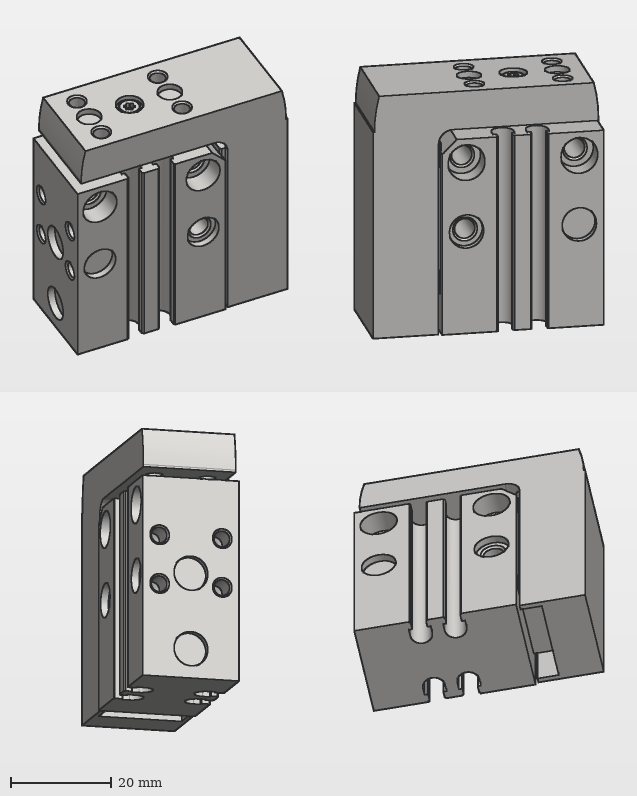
import cadquery as cq
import math

HOUSING_WIDTH = 20.0
HOUSING_DEPTH = 33.0
HOUSING_HEIGHT = 41.0
HOUSING_CHAMFER = 3.0
MID_Y = HOUSING_DEPTH / 2
SIDE_X = HOUSING_WIDTH / 2

SLOT_SPACING = 7.0
SLOT_THROAT_WIDTH = 3.1
SLOT_THROAT_DEPTH = 1.9
SLOT_CHAMBER_WIDTH = 4.5
SLOT_BOTTOM_CENTER_DEPTH = 3.4
SLOT_RECESS = 0.2
SLOT_RECESS_MARGIN = 0.25
LAND_EDGE_CHAMFER = 0.35

SIDE_HOLE_SPACING = 23.0
UPPER_HOLE_Z = 36.0
LOWER_HOLE_Z = 21.5
SIDE_HOLE_DIAMETER = 4.13
SIDE_HOLE_RIM_DIAMETER = 5.0
COUNTERBORE_DIAMETER = 7.5
COUNTERBORE_DEPTH = 4.6
SLEEVE_DIAMETER = 7.0
SLEEVE_DEPTH = 1.6

THREAD_CORE_DIAMETER = 3.24
THREAD_RIM_DIAMETER = 4.0

FRONT_HOLE_SPACING_X = 13.0
FRONT_HOLE_HEIGHTS = (19.0, 29.0)
FRONT_HOLE_DEPTH = 6.0
DRILL_POINT_ANGLE = 118.0
FRONT_SLEEVE_HEIGHTS = (6.0, LOWER_HOLE_Z)

CARRIAGE_HALF_WIDTH = 7.9
END_PLATE_HALF_WIDTH = 8.1
END_PLATE_CHAMFER = 0.4
CARRIAGE_BOTTOM_Z = 8.1
CARRIAGE_TOP_Z = 39.6
END_PLATE_THICKNESS = 4.85
CARRIAGE_FRONT_Y = 32.7
CARRIAGE_BACK_Y = 38.0

SLIDE_WIDTH = 19.2
SLIDE_BACK_Y = 47.0
SLIDE_INNER_Y = 33.65
SLIDE_FRONT_Y = 1.0
SLIDE_TOP_Z = 51.0
TOP_PLATE_BOTTOM_Z = 43.0
INNER_FILLET = 3.0
CURVE_START_Z = 43.5
CURVE_RADIUS = 30.0
BACK_STEP = 0.3

POCKET_HALF_WIDTH = 8.6
POCKET_TOP_Z = 42.4
POCKET_FILLET = 1.8

TOP_HOLE_SPACING_X = 11.0
TOP_HOLE_SPACING_Y = 18.0
TOP_SLEEVE_DIAMETER = 5.0
TOP_SLEEVE_DEPTH = 1.3

SCREW_RECESS_DIAMETER = 5.6
SCREW_RECESS_DEPTH = 1.0
SCREW_HEAD_DIAMETER = 4.5
SCREW_HEAD_HEIGHT = 0.5
SCREW_HEAD_CHAMFER = 0.25
SOCKET_CORE_DIAMETER = 1.75
SOCKET_LOBE_DIAMETER = 0.6
SOCKET_LOBES = 6
SOCKET_TIP_DIAMETER = 2.3
SOCKET_DEPTH = 1.2
ROD_DIAMETER = 5.6
STOP_DIAMETER = 6.0
STOP_Y = 25.0
STOP_BOTTOM_Z = 41.2
STOP_CHAMFER = 0.3


def box(x_range, y_range, z_range):
    """Axis-aligned box between the given limits."""
    size = [high - low for low, high in (x_range, y_range, z_range)]
    return cq.Workplane().box(*size, centered=False).translate((x_range[0], y_range[0], z_range[0]))


def cylinder(start, direction, diameter, length):
    """Round bar that begins at a point and runs along a direction."""
    solid = cq.Solid.makeCylinder(diameter / 2, length, cq.Vector(*start), cq.Vector(*direction))
    return cq.Workplane(solid)


def countersink(start, direction, rim_diameter, core_diameter):
    """45-degree cone that narrows from a hole's rim to its core."""
    depth = (rim_diameter - core_diameter) / 2
    solid = cq.Solid.makeCone(
        rim_diameter / 2, core_diameter / 2, depth, cq.Vector(*start), cq.Vector(*direction)
    )
    return cq.Workplane(solid)


def blind_threaded_hole(start, direction, depth):
    """Countersunk hole with a drill-point bottom."""
    core_radius = THREAD_CORE_DIAMETER / 2
    point_depth = core_radius / math.tan(math.radians(DRILL_POINT_ANGLE / 2))
    point_start = cq.Vector(*start) + cq.Vector(*direction) * depth
    point = cq.Solid.makeCone(core_radius, 0, point_depth, point_start, cq.Vector(*direction))
    return (
        cylinder(start, direction, THREAD_CORE_DIAMETER, depth)
        .union(countersink(start, direction, THREAD_RIM_DIAMETER, THREAD_CORE_DIAMETER))
        .union(cq.Workplane(point))
    )


def housing_block():
    """Block with a chamfer along its upper back edge."""
    block = box((-SIDE_X, SIDE_X), (0, HOUSING_DEPTH), (0, HOUSING_HEIGHT))
    return block.edges(">Y and >Z").chamfer(HOUSING_CHAMFER)


def sensor_slots():
    """Two upright slots in each side face and the chamfered, lowered land between them."""
    height = (0, HOUSING_HEIGHT)
    throat = SLOT_THROAT_WIDTH / 2
    chamber = SLOT_CHAMBER_WIDTH / 2
    throat_end_x = SIDE_X - SLOT_THROAT_DEPTH
    bottom_x = SIDE_X - SLOT_BOTTOM_CENTER_DEPTH
    slots_y = (MID_Y - SLOT_SPACING / 2, MID_Y + SLOT_SPACING / 2)

    land_x = SIDE_X - SLOT_RECESS
    land_half = SLOT_SPACING / 2 - throat
    outer_half = SLOT_SPACING / 2 + throat
    half_outline = [
        (SIDE_X, outer_half + SLOT_RECESS_MARGIN),
        (land_x, outer_half + SLOT_RECESS_MARGIN),
        (land_x, outer_half),
        (throat_end_x, outer_half),
        (throat_end_x, land_half),
        (land_x - LAND_EDGE_CHAMFER, land_half),
        (land_x, land_half - LAND_EDGE_CHAMFER),
    ]
    outline = [(x, MID_Y + y) for x, y in half_outline]
    outline += [(x, MID_Y - y) for x, y in reversed(half_outline)]
    cutter = cq.Workplane().polyline(outline).close().extrude(HOUSING_HEIGHT)

    for y in slots_y:
        cutter = cutter.union(box((bottom_x, throat_end_x), (y - chamber, y + chamber), height))
        cutter = cutter.union(cylinder((bottom_x, y, 0), (0, 0, 1), SLOT_CHAMBER_WIDTH, HOUSING_HEIGHT))
    return cutter.union(cutter.mirror("YZ"))


def side_hole(y, z, seat_diameter, seat_depth):
    """Through hole along X with a rimmed seat at both side faces."""
    cutter = cylinder((-SIDE_X, y, z), (1, 0, 0), SIDE_HOLE_DIAMETER, HOUSING_WIDTH)
    for side in (-1, 1):
        inward = (-side, 0, 0)
        seat_floor = (side * (SIDE_X - seat_depth), y, z)
        cutter = cutter.union(cylinder((side * SIDE_X, y, z), inward, seat_diameter, seat_depth))
        cutter = cutter.union(
            countersink(seat_floor, inward, SIDE_HOLE_RIM_DIAMETER, SIDE_HOLE_DIAMETER)
        )
    return cutter


def side_holes():
    """Two counterbored holes, one hole with sleeve seats and a pair of blind sleeve seats."""
    front_y = MID_Y - SIDE_HOLE_SPACING / 2
    back_y = MID_Y + SIDE_HOLE_SPACING / 2
    cutter = side_hole(back_y, LOWER_HOLE_Z, SLEEVE_DIAMETER, SLEEVE_DEPTH)
    for y in (front_y, back_y):
        cutter = cutter.union(side_hole(y, UPPER_HOLE_Z, COUNTERBORE_DIAMETER, COUNTERBORE_DEPTH))
    for side in (-1, 1):
        rim = (side * SIDE_X, front_y, LOWER_HOLE_Z)
        cutter = cutter.union(cylinder(rim, (-side, 0, 0), SLEEVE_DIAMETER, SLEEVE_DEPTH))
    return cutter


def front_holes():
    """Four threaded holes and two sleeve seats in the front face."""
    inward = (0, 1, 0)
    cutter = cq.Workplane()
    for z in FRONT_SLEEVE_HEIGHTS:
        cutter = cutter.add(cylinder((0, 0, z), inward, SLEEVE_DIAMETER, SLEEVE_DEPTH))
    for x in (-FRONT_HOLE_SPACING_X / 2, FRONT_HOLE_SPACING_X / 2):
        for z in FRONT_HOLE_HEIGHTS:
            cutter = cutter.add(blind_threaded_hole((x, 0, z), inward, FRONT_HOLE_DEPTH))
    return cutter.combine()


def end_plate(bottom_z):
    """Plate across one end of the carriage, with chamfered front corners."""
    return (
        box(
            (-END_PLATE_HALF_WIDTH, END_PLATE_HALF_WIDTH),
            (CARRIAGE_FRONT_Y, CARRIAGE_BACK_Y),
            (bottom_z, bottom_z + END_PLATE_THICKNESS),
        )
        .edges("|Z and <Y")
        .chamfer(END_PLATE_CHAMFER)
    )


def carriage():
    """Guide carriage that sits in the slide's pocket."""
    block = box(
        (-CARRIAGE_HALF_WIDTH, CARRIAGE_HALF_WIDTH),
        (CARRIAGE_FRONT_Y, CARRIAGE_BACK_Y),
        (CARRIAGE_BOTTOM_Z + END_PLATE_THICKNESS, CARRIAGE_TOP_Z - END_PLATE_THICKNESS),
    )
    for bottom_z in (CARRIAGE_BOTTOM_Z, CARRIAGE_TOP_Z - END_PLATE_THICKNESS):
        block = block.union(end_plate(bottom_z))
    return block


def make_housing():
    """Cylinder housing with the guide carriage on its back."""
    return (
        housing_block()
        .cut(sensor_slots())
        .cut(side_holes())
        .cut(front_holes())
        .union(carriage())
    )


def slide_plates():
    """Upright and top plate with curved upper ends and a fillet in the inner corner."""

    def curve_offset(z):
        return CURVE_RADIUS - math.sqrt(CURVE_RADIUS**2 - (z - CURVE_START_Z) ** 2)

    curve_mid_z = (CURVE_START_Z + SLIDE_TOP_Z) / 2
    curve_back_y = SLIDE_BACK_Y - BACK_STEP
    front_mid = (SLIDE_FRONT_Y + curve_offset(curve_mid_z), curve_mid_z)
    front_top = (SLIDE_FRONT_Y + curve_offset(SLIDE_TOP_Z), SLIDE_TOP_Z)
    back_mid = (curve_back_y - curve_offset(curve_mid_z), curve_mid_z)
    back_top = (curve_back_y - curve_offset(SLIDE_TOP_Z), SLIDE_TOP_Z)
    profile = (
        cq.Workplane("YZ")
        .moveTo(SLIDE_INNER_Y, 0)
        .lineTo(SLIDE_INNER_Y, TOP_PLATE_BOTTOM_Z - INNER_FILLET)
        .radiusArc((SLIDE_INNER_Y - INNER_FILLET, TOP_PLATE_BOTTOM_Z), -INNER_FILLET)
        .lineTo(SLIDE_FRONT_Y, TOP_PLATE_BOTTOM_Z)
        .lineTo(SLIDE_FRONT_Y, CURVE_START_Z)
        .threePointArc(front_mid, front_top)
        .lineTo(*back_top)
        .threePointArc(back_mid, (curve_back_y, CURVE_START_Z))
        .lineTo(SLIDE_BACK_Y, CURVE_START_Z)
        .lineTo(SLIDE_BACK_Y, 0)
        .close()
    )
    return profile.extrude(SLIDE_WIDTH / 2, both=True)


def guide_pocket():
    """Pocket for the carriage, open at the bottom, with rounded upper corners."""
    return (
        box(
            (-POCKET_HALF_WIDTH, POCKET_HALF_WIDTH),
            (SLIDE_INNER_Y - INNER_FILLET, CARRIAGE_BACK_Y),
            (0, POCKET_TOP_Z),
        )
        .edges("|Y and >Z")
        .fillet(POCKET_FILLET)
    )


def top_holes():
    """Four threaded through holes and two sleeve seats in the top plate."""
    down = (0, 0, -1)
    plate_thickness = SLIDE_TOP_Z - TOP_PLATE_BOTTOM_Z
    cutter = cq.Workplane()
    for y in (MID_Y - TOP_HOLE_SPACING_Y / 2, MID_Y + TOP_HOLE_SPACING_Y / 2):
        cutter = cutter.add(cylinder((0, y, SLIDE_TOP_Z), down, TOP_SLEEVE_DIAMETER, TOP_SLEEVE_DEPTH))
        for x in (-TOP_HOLE_SPACING_X / 2, TOP_HOLE_SPACING_X / 2):
            rim = (x, y, SLIDE_TOP_Z)
            cutter = cutter.add(cylinder(rim, down, THREAD_CORE_DIAMETER, plate_thickness))
            cutter = cutter.add(countersink(rim, down, THREAD_RIM_DIAMETER, THREAD_CORE_DIAMETER))
    return cutter.combine()


def screw_recess():
    """Round recess in the top plate around the screw head."""
    return cylinder((0, MID_Y, SLIDE_TOP_Z), (0, 0, -1), SCREW_RECESS_DIAMETER, SCREW_RECESS_DEPTH)


def screw_head():
    """Screw head with a chamfered rim, and the six-lobed socket to cut from it."""
    floor_z = SLIDE_TOP_Z - SCREW_RECESS_DEPTH
    head_top_z = floor_z + SCREW_HEAD_HEIGHT
    down = (0, 0, -1)
    socket = cylinder((0, MID_Y, head_top_z), down, SOCKET_CORE_DIAMETER, SOCKET_DEPTH)
    lobe_radius = (SOCKET_TIP_DIAMETER - SOCKET_LOBE_DIAMETER) / 2
    for index in range(SOCKET_LOBES):
        angle = 2 * math.pi * index / SOCKET_LOBES
        lobe = (lobe_radius * math.cos(angle), MID_Y + lobe_radius * math.sin(angle), head_top_z)
        socket = socket.union(cylinder(lobe, down, SOCKET_LOBE_DIAMETER, SOCKET_DEPTH))
    shank_z = head_top_z - 2 * SOCKET_DEPTH
    head = cylinder((0, MID_Y, shank_z), (0, 0, 1), SCREW_HEAD_DIAMETER, 2 * SOCKET_DEPTH)
    return head.faces(">Z").chamfer(SCREW_HEAD_CHAMFER), socket


def piston_rod():
    """Rod between the top of the housing and the top plate."""
    length = TOP_PLATE_BOTTOM_Z - HOUSING_HEIGHT
    return cylinder((0, MID_Y, HOUSING_HEIGHT), (0, 0, 1), ROD_DIAMETER, length)


def end_stop():
    """Stop under the top plate with a chamfered lower rim."""
    length = TOP_PLATE_BOTTOM_Z - STOP_BOTTOM_Z
    stop = cylinder((0, STOP_Y, STOP_BOTTOM_Z), (0, 0, 1), STOP_DIAMETER, length)
    return stop.faces("<Z").chamfer(STOP_CHAMFER)


def make_slide():
    """Slide with its screw, piston rod and end stop."""
    head, socket = screw_head()
    return (
        slide_plates()
        .cut(guide_pocket())
        .cut(top_holes())
        .cut(screw_recess())
        .union(head)
        .cut(socket)
        .union(piston_rod())
        .union(end_stop())
    )


housing = make_housing()
slide = make_slide()
result = cq.Compound.makeCompound([housing.solids().val(), slide.solids().val()])